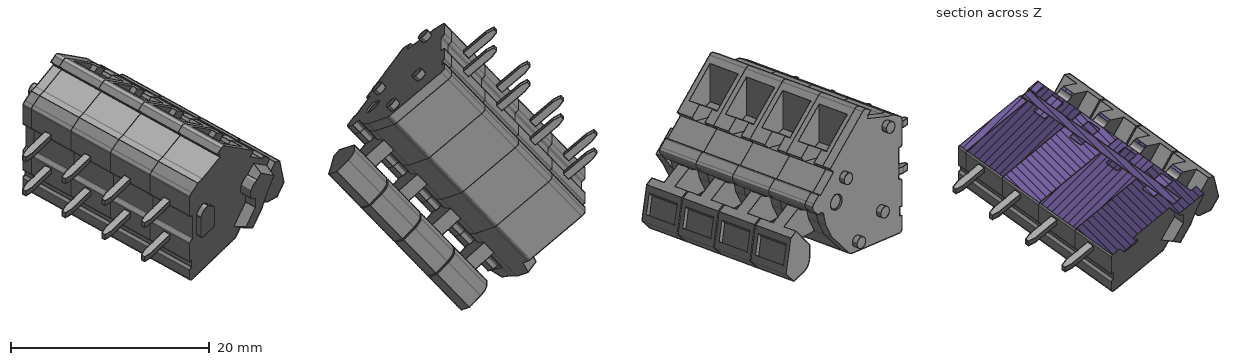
import cadquery as cq
import math


MODULES = 4
PITCH = 5.0
PLATE_WIDTH = 1.05
ROW_END = PLATE_WIDTH + MODULES * PITCH

UPPER_FACE_SUM = 20.9
LOWER_FACE_SUM = 19.92
NOSE_SUM = 20.26
NOSE_DIFFERENCE = 6.63
BELLY_DIFFERENCE = 7.67
NOSE_RADIUS = 0.55
BELLY_RADIUS = 0.57
BELLY_TOP_Y = 10.4
BELLY_TOP = (BELLY_TOP_Y, BELLY_TOP_Y - BELLY_DIFFERENCE)
FLANK_BEND = (11.3, 4.34)
FLANK_TOP = (11.57, 5.42)
THROAT_MIDDLE = (11.7, 5.78)
THROAT_TOP = (11.98, 5.9)
NOSE_START_Y = 12.46
NOSE_BEAD_Y = (12.37, 12.07)
NOSE_BEAD_MIDDLE = (12.23, 7.95)
WIRE_STEP_LOWER_Y = 10.15
WIRE_STEP_UPPER_Y = 10.63
CREST_START_Y = 5.85
CREST_MIDDLE = (5.58, 15.22)
CREST_END = (5.28, 15.17)
HOOK_POINTS = [(4.61, 14.83), (5.05, 14.41), (5.05, 14.05)]
ROOF_POINTS = [(2.1, 13.35), (1.4, 13.3), (0.35, 12.8)]
ROOF_EDGE_MIDDLE = (0.11, 12.65)
ROOF_EDGE_END = (0, 12.37)
FOOT_RADIUS = 0.45

RECESS_DEPTH = 0.48
RECESS_BOTTOM = 6.01
RECESS_TOP = 9.3
RECESS_INNER_RADIUS = 0.11
RECESS_LIP_RADIUS = 0.35
GROOVE_DEPTH = 0.35
GROOVE_BOTTOM = 1.88
GROOVE_TOP = 2.85
GROOVE_TOP_RADIUS = 0.1
GROOVE_BOTTOM_RADIUS = 0.23

PEG_RADIUS = 0.62
PEG_LENGTH = 0.65
PEG_CENTRES = [(2.39, 12.42), (8.63, 8.77), (3.21, 3.37), (6.72, 1.15)]

PIVOT_Y = 9.73
PIVOT_Z = 6.35
AXLE_RADIUS = 0.78
AXLE_RECESS = 0.18
PLATE_HOLE_RADIUS = 0.85

PIN_OFFSET = 2.13
PIN_WIDTH = 0.78
PIN_TIP_WIDTH = 0.41
PIN_HEIGHT = 0.7
PIN_LENGTH = 4.0
PIN_TAPER = 0.83
PIN_LEVELS = (PITCH, 2 * PITCH)

ENTRY_OFFSET = 0.53
ENTRY_WIDTH = 3.85
ENTRY_LOWER_Y = 9.52
ENTRY_UPPER_Y = 6.43
ENTRY_VALLEY_Y = 7.07
ENTRY_BACK_Z = 10.3
ENTRY_FLOOR_SLOPE = 0.48
CHANNEL_WIDTH = 1.77
CHANNEL_VALLEY_Y = 8.03
CUT_MARGIN = 2.3

LEVER_OFFSET = 2.07
LEVER_WIDTH = 4.85
NECK_WIDTH = 1.5
HUB_RADIUS = 1.26
LEVER_TOP_SLOPE = 0.64
NECK_TOP_START = (12.78, 5.97)
NECK_HEEL = (12.5, 5.74)
NECK_HOLLOW_MIDDLE = (12.12, 5.55)
NECK_HOLLOW_END = (11.73, 5.7)
SHOULDER_TOP_Y = 14.92
SHOULDER_BOTTOM = (12.9, 2.48)
HEAD_TOP_Y = 15.7
HEAD_TIP_ARC = [(16.36, 0.57), (16.39, 0.44), (16.32, 0.28)]
HEAD_LOWEST = (15.26, -0.78)
HEAD_BACK_ARC = [(13.72, -0.2), (13.13, 0.35), (12.9, 1.05)]
GRIP_SLOT_WIDTH = 3.85
GRIP_SLOT_TOP = (15.84, 3.35)
GRIP_SLOT_BOTTOM = (16.23, 1.1)
GRIP_SLOT_REACH = 0.41

BOSS_HEIGHT = 1.25
BOSS_DRAFT = 0.41
BOSS_TOP_DRAFT = 0.32
BOSS_WALL_Y = 9.32
BOSS_WALL_BOTTOM_Z = 3.83
BOSS_ROUND_END = (9.62, 7.62)
BOSS_TOP_EDGE = [(10.65, 8.4), (12.83, 6.22)]
BOSS_BOTTOM_EDGE = [(8.45, 0.78), (7.37, 1.88)]
TAB_HEIGHT = 0.55
TAB_BACK_Y = 3.37
TAB_BACK_TOP_Z = 8.54
TAB_CROWN_ARC = [(2.36, 9.57), (1.58, 9.39), (1.12, 8.81)]
TAB_FOOT_ARC = [(1.12, 6.15), (1.26, 5.8), (1.6, 5.67)]


def section(x):
    return cq.Workplane("YZ", origin=(x, 0, 0))


def prism(outline, x, width):
    """Solid between two parallel sections, with its middle at x."""
    return outline(section(x - width / 2)).extrude(width)


def round_at(plan, centre, radius, start_angle, end_angle):
    """Go straight to an arc and about the centre, with angles in degrees from +Y towards +Z."""
    def at(angle):
        turn = math.radians(angle)
        return (centre[0] + radius * math.cos(turn), centre[1] + radius * math.sin(turn))

    middle = at((start_angle + end_angle) / 2)
    return plan.lineTo(*at(start_angle)).threePointArc(middle, at(end_angle))


def board_face(plan):
    """Continue the outline down the board face, from the top corner to the foot."""
    lip = RECESS_LIP_RADIUS
    inner = RECESS_INNER_RADIUS
    plan = round_at(plan, (lip, RECESS_TOP + inner + lip), lip, 180, 270)
    plan = round_at(plan, (RECESS_DEPTH - inner, RECESS_TOP), inner, 90, 0)
    plan = round_at(plan, (RECESS_DEPTH - inner, RECESS_BOTTOM), inner, 0, -90)
    plan = round_at(plan, (lip, RECESS_BOTTOM - inner - lip), lip, 90, 180)
    upper = GROOVE_TOP_RADIUS
    lower = GROOVE_BOTTOM_RADIUS
    plan = round_at(plan, (upper, GROOVE_TOP + upper), upper, 180, 270)
    plan = plan.lineTo(GROOVE_DEPTH, GROOVE_TOP).lineTo(GROOVE_DEPTH, GROOVE_BOTTOM)
    plan = round_at(plan, (lower, GROOVE_BOTTOM - lower), lower, 90, 180)
    return round_at(plan, (FOOT_RADIUS, FOOT_RADIUS), FOOT_RADIUS, 180, 270)


def front_face(plan):
    """Continue the outline from the underside, up the belly and nose to the wire face."""
    belly_run = BELLY_RADIUS * (math.sqrt(2) - 1)
    belly_centre = (BELLY_DIFFERENCE - belly_run, BELLY_RADIUS)
    plan = round_at(plan, belly_centre, BELLY_RADIUS, -90, -45)
    plan = plan.lineTo(*BELLY_TOP)
    plan = plan.lineTo(*FLANK_BEND).lineTo(*FLANK_TOP)
    plan = plan.threePointArc(THROAT_MIDDLE, THROAT_TOP)
    plan = plan.lineTo(NOSE_START_Y, NOSE_START_Y - NOSE_DIFFERENCE)
    nose_tip_y = (NOSE_SUM + NOSE_DIFFERENCE) / 2
    nose_z = (NOSE_SUM - NOSE_DIFFERENCE) / 2
    nose_centre = (nose_tip_y - NOSE_RADIUS * math.sqrt(2), nose_z)
    plan = round_at(plan, nose_centre, NOSE_RADIUS, -45, 45)
    bead_start_y, bead_end_y = NOSE_BEAD_Y
    plan = plan.lineTo(bead_start_y, NOSE_SUM - bead_start_y)
    plan = plan.threePointArc(NOSE_BEAD_MIDDLE, (bead_end_y, LOWER_FACE_SUM - bead_end_y))
    plan = plan.lineTo(WIRE_STEP_LOWER_Y, LOWER_FACE_SUM - WIRE_STEP_LOWER_Y)
    return plan.lineTo(WIRE_STEP_UPPER_Y, UPPER_FACE_SUM - WIRE_STEP_UPPER_Y)


def housing_outline(plan):
    """Outline from the crest over the hook and roof, then round by the board face and belly."""
    plan = plan.moveTo(CREST_START_Y, UPPER_FACE_SUM - CREST_START_Y)
    plan = plan.threePointArc(CREST_MIDDLE, CREST_END)
    for point in HOOK_POINTS + ROOF_POINTS:
        plan = plan.lineTo(*point)
    plan = plan.threePointArc(ROOF_EDGE_MIDDLE, ROOF_EDGE_END)
    return front_face(board_face(plan)).close()



def lever_top_point(y):
    """Point on the slope that the neck and the head share along their top."""
    start_y, start_z = NECK_TOP_START
    return (y, start_z - LEVER_TOP_SLOPE * (y - start_y))


def head_outline(plan):
    tip_start, tip_middle, tip_end = HEAD_TIP_ARC
    back_start, back_middle, back_end = HEAD_BACK_ARC
    plan = plan.moveTo(*lever_top_point(SHOULDER_TOP_Y)).lineTo(*lever_top_point(HEAD_TOP_Y))
    plan = plan.lineTo(*tip_start).threePointArc(tip_middle, tip_end)
    plan = plan.lineTo(*HEAD_LOWEST).lineTo(*back_start).threePointArc(back_middle, back_end)
    return plan.lineTo(*SHOULDER_BOTTOM).close()


def neck_outline(plan):
    plan = plan.moveTo(*lever_top_point(SHOULDER_TOP_Y)).lineTo(*NECK_TOP_START).lineTo(*NECK_HEEL)
    plan = plan.threePointArc(NECK_HOLLOW_MIDDLE, NECK_HOLLOW_END)
    return plan.lineTo(PIVOT_Y, PIVOT_Z).lineTo(*BELLY_TOP).lineTo(*SHOULDER_BOTTOM).close()


def grip_slot_outline(plan):
    reach = GRIP_SLOT_REACH
    top_y, top_z = GRIP_SLOT_TOP
    bottom_y, bottom_z = GRIP_SLOT_BOTTOM
    plan = plan.moveTo(top_y + reach, top_z + reach).lineTo(bottom_y + reach, bottom_z + reach)
    return plan.lineTo(bottom_y - reach, bottom_z - reach).lineTo(top_y - reach, top_z - reach).close()


def hub_outline(plan):
    return plan.center(PIVOT_Y, PIVOT_Z).circle(HUB_RADIUS)


def make_neck(x):
    return prism(neck_outline, x, NECK_WIDTH).union(prism(hub_outline, x, NECK_WIDTH))


def make_lever(module_x):
    x = module_x + LEVER_OFFSET
    lever = prism(head_outline, x, LEVER_WIDTH).union(make_neck(x))
    return lever.cut(prism(grip_slot_outline, x, GRIP_SLOT_WIDTH)).cut(axle)



def floor_point(y):
    """Point on the rising floor that the wire entry and its channel share."""
    return (y, ENTRY_BACK_Z - ENTRY_FLOOR_SLOPE * (y - ENTRY_UPPER_Y))


def entry_outline(plan):
    """Wire entry with a V-shaped floor, open through the wire face."""
    plan = plan.moveTo(ENTRY_LOWER_Y, UPPER_FACE_SUM - ENTRY_LOWER_Y).lineTo(*floor_point(ENTRY_VALLEY_Y))
    plan = plan.lineTo(ENTRY_UPPER_Y, ENTRY_BACK_Z)
    top = UPPER_FACE_SUM - ENTRY_UPPER_Y + CUT_MARGIN
    return plan.lineTo(ENTRY_UPPER_Y, top).lineTo(ENTRY_LOWER_Y, top).close()


def channel_outline(plan):
    """Deeper channel along the middle of the wire entry, out to the recessed face."""
    start_z = LOWER_FACE_SUM - WIRE_STEP_LOWER_Y
    plan = plan.moveTo(WIRE_STEP_LOWER_Y, start_z).lineTo(*floor_point(CHANNEL_VALLEY_Y))
    plan = plan.lineTo(ENTRY_UPPER_Y, ENTRY_BACK_Z)
    top_z = UPPER_FACE_SUM - ENTRY_UPPER_Y
    plan = plan.lineTo(ENTRY_UPPER_Y, top_z).lineTo(ENTRY_UPPER_Y + CUT_MARGIN, top_z + CUT_MARGIN)
    return plan.lineTo(WIRE_STEP_LOWER_Y + CUT_MARGIN, start_z + CUT_MARGIN).close()


def make_pin(x, z):
    taper_start = PIN_LENGTH - PIN_TAPER
    half = PIN_WIDTH / 2
    tip = PIN_TIP_WIDTH / 2
    points = [(-half, 0), (half, 0), (half, -taper_start), (tip, -PIN_LENGTH)]
    points += [(-tip, -PIN_LENGTH), (-half, -taper_start)]
    plane = cq.Workplane("XY", origin=(x, 0, z - PIN_HEIGHT / 2))
    return plane.polyline(points).close().extrude(PIN_HEIGHT)


def make_module(x):
    module = housing_outline(section(x)).extrude(PITCH)
    module = module.cut(prism(entry_outline, x + ENTRY_OFFSET + ENTRY_WIDTH / 2, ENTRY_WIDTH))
    module = module.cut(prism(channel_outline, x + LEVER_OFFSET, CHANNEL_WIDTH))
    module = module.cut(make_neck(x + LEVER_OFFSET)).cut(axle)
    for level in PIN_LEVELS:
        module = module.union(make_pin(x + PIN_OFFSET, level))
    return module


def boss_outline(plan, draft, top_draft):
    """Boss around the pivot; its upper and lower slanted ends move in by the drafts."""
    reach = math.sqrt(HUB_RADIUS**2 - (PIVOT_Y - BOSS_WALL_Y)**2)
    plan = plan.moveTo(*BOSS_ROUND_END)
    for y, z in BOSS_TOP_EDGE:
        plan = plan.lineTo(y - draft, z - top_draft)
    plan = plan.lineTo(*FLANK_BEND).lineTo(*BELLY_TOP)
    for y, z in BOSS_BOTTOM_EDGE:
        plan = plan.lineTo(y + draft, z + draft)
    plan = plan.lineTo(BOSS_WALL_Y, BOSS_WALL_BOTTOM_Z).lineTo(BOSS_WALL_Y, PIVOT_Z - reach)
    return plan.threePointArc((PIVOT_Y - HUB_RADIUS, PIVOT_Z), BOSS_ROUND_END).close()


def make_boss():
    base = boss_outline(section(ROW_END), 0, 0)
    return boss_outline(base.workplane(BOSS_HEIGHT), BOSS_DRAFT, BOSS_TOP_DRAFT).loft(ruled=True)


def make_tab():
    crown_start, crown_middle, crown_end = TAB_CROWN_ARC
    foot_start, foot_middle, foot_end = TAB_FOOT_ARC
    plan = section(ROW_END).moveTo(TAB_BACK_Y, TAB_BACK_TOP_Z)
    plan = plan.lineTo(*crown_start).threePointArc(crown_middle, crown_end)
    plan = plan.lineTo(*foot_start).threePointArc(foot_middle, foot_end)
    return plan.lineTo(TAB_BACK_Y, foot_end[1]).close().extrude(TAB_HEIGHT)


def make_plate():
    plate = housing_outline(section(0)).extrude(PLATE_WIDTH)
    pegs = section(0).pushPoints(PEG_CENTRES).circle(PEG_RADIUS).extrude(-PEG_LENGTH)
    hole = section(0).center(PIVOT_Y, PIVOT_Z).circle(PLATE_HOLE_RADIUS).extrude(PLATE_WIDTH)
    return plate.union(pegs).cut(hole)


axle = section(AXLE_RECESS).center(PIVOT_Y, PIVOT_Z).circle(AXLE_RADIUS).extrude(ROW_END - AXLE_RECESS)
plate = make_plate()
module_places = [PLATE_WIDTH + number * PITCH for number in range(MODULES)]
modules = [make_module(x) for x in module_places]
modules[-1] = modules[-1].union(make_boss()).union(make_tab())
levers = [make_lever(x) for x in module_places]

bodies = [plate, axle, *modules, *levers]
result = cq.Compound.makeCompound([body.solids().val() for body in bodies])